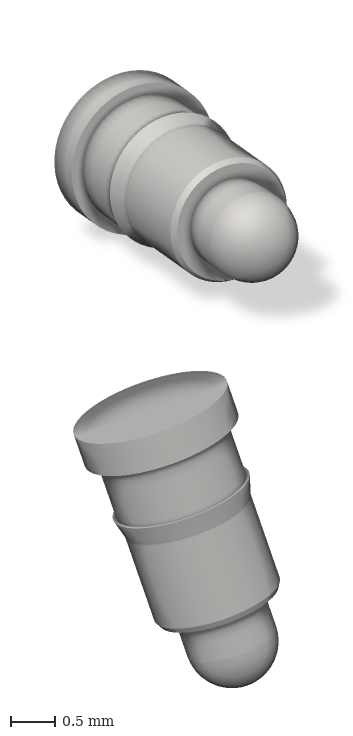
import cadquery as cq

overall_length = 3.48

flange_radius = 0.915
neck_radius = 0.773
barb_radius = 0.815
barrel_radius = 0.748
barrel_end_radius = 0.705
plunger_radius = 0.53

flange_length = 0.407
neck_length = 0.71
barb_length = 0.24
barrel_length = 1.058
chamfer_length = 0.073

neck_end = flange_length + neck_length
barb_end = neck_end + barb_length
barrel_end = barb_end + barrel_length
chamfer_end = barrel_end + chamfer_length
dome_start = overall_length - plunger_radius

half_profile = (
    cq.Workplane("XY")
    .moveTo(0, 0)
    .lineTo(0, flange_radius)
    .lineTo(flange_length, flange_radius)
    .lineTo(flange_length, neck_radius)
    .lineTo(neck_end, neck_radius)
    .lineTo(neck_end, barb_radius)
    .lineTo(barb_end, barrel_radius)
    .lineTo(barrel_end, barrel_radius)
    .lineTo(chamfer_end, barrel_end_radius)
    .lineTo(chamfer_end, plunger_radius)
    .lineTo(dome_start, plunger_radius)
    .radiusArc((overall_length, 0), plunger_radius)
    .close()
)

result = half_profile.revolve(360, (0, 0, 0), (1, 0, 0))